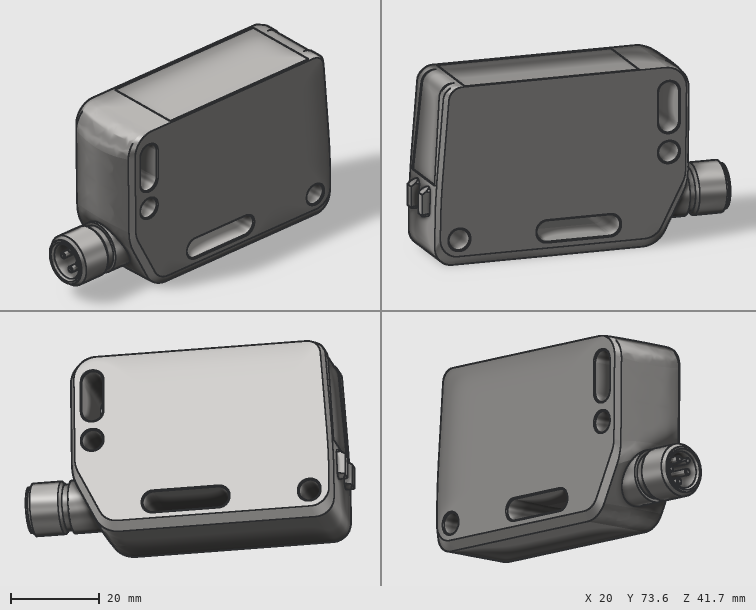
import cadquery as cq
import math

width = 20.0
height = 41.7
overall_length = 73.62
depth = 61.74
edge_inset = 1.2
half_width = width / 2
ridge_x = half_width - edge_inset
front_bevel = 0.9
bottom_bevel = 2.2
rear_bevel = 1.0
slant_bevel = 2.2
crown = 1.0

front_knee_z = 14.0
front_lean = 2.25
rear_lean = 0.3
slant_foot_y = 8.2
slant_slope = 0.51
lean_blend = 170.0
rear_knee_radius = 8.0
ridge_knee_radius = 12.0
side_knee_radius = 6.0
ridge_slant_inset = 0.3
top_front_radius = 3.2
top_rear_radius = 6.4
ridge_top_rear_radius = 5.6
side_top_rear_radius = 5.0
bottom_front_radius = 4.2
bottom_rear_radius = 6.2
side_bottom_rear_radius = 4.5

hole_mouth = 4.85
hole_waist = 4.4
hole_chamfer = 0.27
chamfer_angle = 45.0
upper_hole_y = 6.27
upper_hole_z = 21.9
upper_slot_z = 32.4
upper_slot_length = 7.0
lower_hole_y = 56.3
lower_hole_z = 6.1
lower_slot_y = 27.8
lower_slot_length = 15.0

label_width = 18.7
label_start_y = 13.2
label_end_y = 54.8
label_depth = 0.1

window_depth = 0.3
window_top_half_width = 6.1
window_foot_half_width = 7.5
window_foot_z = 18.5

button_spacing = 7.3
button_root_width = 3.2
button_tip_width = 2.6
button_tip_y = 63.42
button_low_z = 11.0
button_high_z = 15.9
button_slope_start_y = 61.4
button_root_high_z = 17.4
button_root_low_z = 10.5
button_root_y = 60.5

plug_z = 9.85
plug_radius = 6.0
plug_end_y = button_tip_y - overall_length
neck_radius = 5.25
neck_start_y = -0.25
neck_end_y = -1.8
collar_end_y = -2.55
tip_chamfer_y = -9.05
tip_lip_y = -9.75
tip_radius = 5.2
bore_radius = 4.15
bore_chamfer = 0.55
bore_depth = 8.0
plug_root_y = 12.0
pin_circle_radius = 2.55
pin_radius = 0.75
pin_length = 6.5
pin_chamfer = 0.25
pin_count = 4
key_width = 0.9
key_reach = 0.85
key_angle = 45.0


def rounded_outline(x, corners):
    """Closed YZ wire at x through (y, z, radius) corners, each rounded by an arc."""
    ends = []
    for i, (y, z, radius) in enumerate(corners):
        corner = cq.Vector(x, y, z)
        before = (cq.Vector(x, *corners[i - 1][:2]) - corner).normalized()
        after = (cq.Vector(x, *corners[(i + 1) % len(corners)][:2]) - corner).normalized()
        half_angle = before.getAngle(after) / 2
        setback = radius / math.tan(half_angle)
        bisector = (before + after).normalized()
        middle = corner + bisector * (radius / math.sin(half_angle) - radius)
        ends.append((corner + before * setback, middle, corner + after * setback))
    edges = []
    for i, (start, middle, end) in enumerate(ends):
        edges.append(cq.Edge.makeThreePointArc(start, middle, end))
        edges.append(cq.Edge.makeLine(end, ends[(i + 1) % len(ends)][0]))
    return cq.Wire.assembleEdges(edges)


def housing_outline(x, rear_y, front_inset, bottom_z, slant_inset, rear_radius, knee_radius, foot_radius):
    """Housing section: bottom front, front knee, top front, top rear, rear knee, rear foot."""
    front_y = depth - front_inset
    knee_y = rear_y + rear_lean
    foot_at_zero = slant_foot_y + slant_inset
    knee_z = (foot_at_zero - knee_y) / slant_slope
    foot_y = foot_at_zero - slant_slope * bottom_z
    return rounded_outline(x, [
        (front_y, bottom_z, bottom_front_radius),
        (front_y, front_knee_z, lean_blend),
        (front_y - front_lean, height, top_front_radius),
        (rear_y, height, rear_radius),
        (knee_y, knee_z, knee_radius),
        (foot_y, bottom_z, foot_radius),
    ])


def make_housing():
    """Crowned middle lofted through three sections, with a ruled bevel on each side."""
    def ridge(x):
        return housing_outline(x, crown, 0, 0, ridge_slant_inset,
                               ridge_top_rear_radius, ridge_knee_radius, bottom_rear_radius)

    def side(x):
        return housing_outline(x, crown + rear_bevel, front_bevel, bottom_bevel, slant_bevel,
                               side_top_rear_radius, side_knee_radius, side_bottom_rear_radius)

    middle = housing_outline(0, 0, 0, 0, 0, top_rear_radius, rear_knee_radius, bottom_rear_radius)
    body = cq.Workplane(cq.Solid.makeLoft([ridge(-ridge_x), middle, ridge(ridge_x)]))
    for sign in (-1, 1):
        bevel = cq.Solid.makeLoft([ridge(sign * ridge_x), side(sign * half_width)], True)
        body = body.union(cq.Workplane(bevel))
    return body


def drafted_cutter(y, z, length, angle):
    """Through slot (a round hole if length is zero): chamfered mouths, tapering to mid-width.

    The length is measured between the centres of the round ends.
    """

    def profile(x, diameter):
        plane = cq.Workplane("YZ", origin=(x, y, z))
        if length > 0:
            return plane.slot2D(length + diameter, diameter, angle)
        return plane.circle(diameter / 2)

    bore_end_x = half_width - hole_chamfer
    draft_angle = math.degrees(math.atan((hole_mouth - hole_waist) / 2 / bore_end_x))
    mouth_cut = profile(half_width, hole_mouth + 2 * hole_chamfer).extrude(-hole_chamfer, taper=chamfer_angle)
    bore = profile(bore_end_x, hole_mouth).extrude(-bore_end_x, taper=draft_angle)
    half_cutter = mouth_cut.union(bore)
    return half_cutter.union(half_cutter.mirror("YZ"))


def cut_mounting_holes(body):
    """One round hole and one slot near the rear, and one of each along the underside."""
    body = body.cut(drafted_cutter(upper_hole_y, upper_hole_z, 0, 0))
    body = body.cut(drafted_cutter(lower_hole_y, lower_hole_z, 0, 0))
    body = body.cut(drafted_cutter(upper_hole_y, upper_slot_z, upper_slot_length, 90))
    return body.cut(drafted_cutter(lower_slot_y, lower_hole_z, lower_slot_length, 0))


def cut_label(body):
    """Shallow rectangular recess in the top face."""
    label_length = label_end_y - label_start_y
    label = cq.Workplane("XY").box(
        label_width, label_length, label_depth, centered=(True, False, False)
    )
    return body.cut(label.translate((0, label_start_y, height - label_depth)))


def cut_window(body):
    """Shallow recess that follows the front face and its rounded top edge."""
    tapered_block = (
        cq.Workplane("XZ", origin=(0, depth, 0))
        .moveTo(-window_foot_half_width, window_foot_z)
        .lineTo(window_foot_half_width, window_foot_z)
        .lineTo(window_top_half_width, height - top_front_radius)
        .lineTo(window_top_half_width, height)
        .lineTo(-window_top_half_width, height)
        .lineTo(-window_top_half_width, height - top_front_radius)
        .close()
        .extrude(2 * top_front_radius)
    )
    inner_body = make_housing().translate((0, -window_depth, 0))
    return body.cut(tapered_block.cut(inner_body))


def make_button(x):
    """Tapered button with round ends and a sloping upper side."""
    side_profile = (
        cq.Workplane("YZ", origin=(x, 0, 0))
        .polyline([
            (button_root_y, button_root_low_z),
            (button_tip_y - (button_low_z - button_root_low_z), button_root_low_z),
            (button_tip_y, button_low_z),
            (button_tip_y, button_high_z),
            (button_slope_start_y, button_root_high_z),
            (button_root_y, button_root_high_z),
        ])
        .close()
        .extrude(button_root_width / 2, both=True)
    )
    plan_profile = (
        cq.Workplane("XY", origin=(x, 0, 0))
        .moveTo(-button_root_width / 2, button_root_y)
        .lineTo(button_root_width / 2, button_root_y)
        .lineTo(button_tip_width / 2, button_tip_y)
        .lineTo(-button_tip_width / 2, button_tip_y)
        .close()
        .extrude(height)
    )
    root_height = button_root_high_z - button_root_low_z
    rounded_face = (
        cq.Workplane("XZ", origin=(x, button_root_y, button_root_low_z + root_height / 2))
        .slot2D(root_height, button_root_width, 90)
        .extrude(button_root_y - button_tip_y)
    )
    return side_profile.intersect(plan_profile).intersect(rounded_face)


def make_plug():
    """Turned connector shell with its open bore, revolved about its own Y axis."""
    bore_floor_y = plug_end_y + bore_depth
    return (
        cq.Workplane("XY", origin=(0, 0, plug_z))
        .polyline([
            (0, plug_root_y),
            (plug_radius, plug_root_y),
            (plug_radius, neck_start_y),
            (neck_radius, neck_start_y),
            (neck_radius, neck_end_y),
            (plug_radius, collar_end_y),
            (plug_radius, tip_chamfer_y),
            (tip_radius, tip_lip_y),
            (tip_radius, plug_end_y),
            (bore_radius + bore_chamfer, plug_end_y),
            (bore_radius, plug_end_y + bore_chamfer),
            (bore_radius, bore_floor_y),
            (0, bore_floor_y),
        ])
        .close()
        .revolve(360, (0, 0, 0), (0, 1, 0))
    )


def add_plug_contacts(body):
    """Contact pins and the coding key, standing on the bore floor."""
    bore_floor_y = plug_end_y + bore_depth
    floor = cq.Workplane("XZ", origin=(0, bore_floor_y, plug_z))
    pins = (
        floor.polarArray(pin_circle_radius, 0, 360, pin_count)
        .circle(pin_radius)
        .extrude(pin_length)
        .faces("<Y")
        .chamfer(pin_chamfer)
    )
    key = (
        floor.transformed(rotate=(0, 0, key_angle))
        .center(bore_radius - key_reach / 2, 0)
        .rect(key_reach + bore_chamfer, key_width)
        .extrude(pin_length)
    )
    return body.union(pins).union(key)


body = cut_label(cut_window(make_housing()))
for sign in (-1, 1):
    body = body.union(make_button(sign * button_spacing / 2))
body = body.union(make_plug())
body = add_plug_contacts(body)
result = cut_mounting_holes(body)